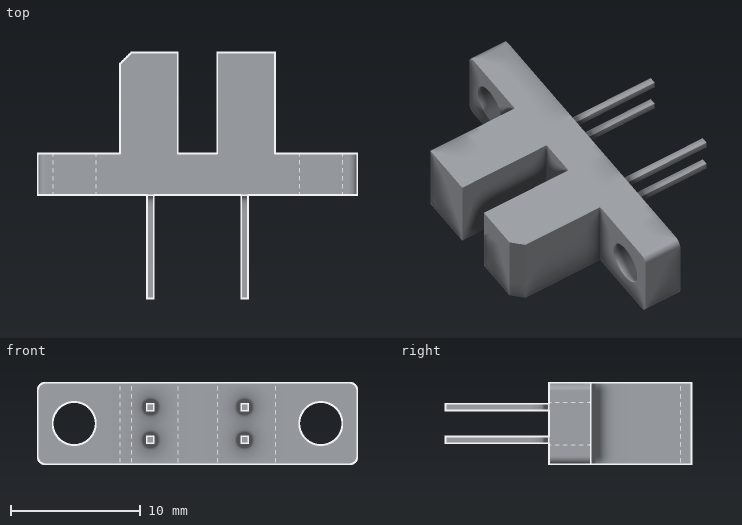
import cadquery as cq

flange_length = 24.7
height = 6.32
flange_thickness = 3.2
corner_radius = 0.62
hole_diameter = 3.3
hole_spacing = 19.04

arm_width = 4.47
arm_gap = 3.04
arm_length = 7.8
arm_chamfer = 0.9

pin_side = 0.55
pin_length = 8.0
pin_spacing_x = 7.28
pin_spacing_z = 2.52


def block(width, length, depth, x, y_start, z=0.0):
    """Box centred at x and z, running from y_start by length along +Y."""
    return cq.Workplane("XY").box(width, length, depth).translate((x, y_start + length / 2, z))


def make_flange():
    body = block(flange_length, flange_thickness, height, 0, 0).edges("|Y").fillet(corner_radius)
    return (
        body.faces("<Y").workplane(centerOption="CenterOfBoundBox")
        .rarray(hole_spacing, 0.25, 2, 1)
        .hole(hole_diameter)
    )


def make_arm(side):
    x = side * (arm_gap + arm_width) / 2
    return block(arm_width, arm_length, height, x, flange_thickness)


result = make_flange()

result = result.union(make_arm(-1).edges("|Z and <X and >Y").chamfer(arm_chamfer))
result = result.union(make_arm(1))

for side_x in (-1, 1):
    for side_z in (-1, 1):
        pin = block(
            pin_side, pin_length, pin_side,
            side_x * pin_spacing_x / 2, -pin_length, side_z * pin_spacing_z / 2,
        )
        result = result.union(pin)